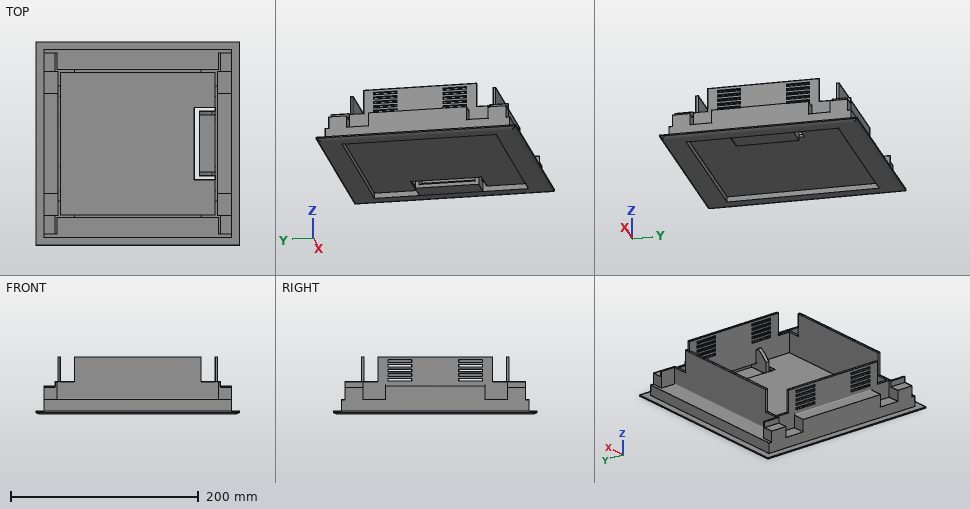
import cadquery as cq
import math

FLANGE = 217.0
FLANGE_THICKNESS = 3.3
EDGE_ROUND_RADIUS = 10.0
EDGE_ROUND_HEIGHT = 2.0
BODY = 200.3
LEDGE_Z = 15.5

WALL_THICKNESS = 2.8
WALL_X = 85.3
WALL_Y = 78.8
ROOM_X = WALL_X - WALL_THICKNESS
ROOM_Y = WALL_Y - WALL_THICKNESS
LOW_WALL_Z = 34.7
TOP_Z = 61.0
CORNER_CUT = 17.5

BLOCK_Z = 30.0
BLOCK_HALF_LENGTH = 53.2
FOOT_FILLET = 1.0

TOWER_Z = 28.2
TOWER_Y_INNER = 76.8
TOWER_Y_OUTER = 96.3
FIN_X_INNER = 86.1
FIN_X_OUTER = 88.0

SLOT_LENGTH = 25.2
SLOT_HEIGHT = 2.4
SLOT_PITCH = 5.0
SLOT_COUNT = 5
SLOT_GROUP_Y = 37.8
LOWEST_SLOT_Z = 36.7

LID_OVERLAP = 7.5
LID_X = ROOM_X + LID_OVERLAP
LID_Y = ROOM_Y + LID_OVERLAP
LID_Z = 9.0
LID_THICKNESS = 3.0
WALL_FOOT_Z = 10.8
NOTCH_X = 60.3
NOTCH_HALF_WIDTH = 38.5

LATCH_X = 65.8
LATCH_HALF_WIDTH = 34.5
LATCH_Z = 4.0
RIB_THICKNESS = 4.1
RIB_NOSE_Z = 17.5
RIB_KNEE = (73.3, 24.7)
RIB_PEAK = (79.5, 28.9)
RIB_SHOULDER = (81.2, 27.5)
RIB_BACK_Z = 25.8


def block(x0, x1, y0, y1, z0, z1):
    """Box between two opposite corners."""
    return cq.Workplane("XY").box(x1 - x0, y1 - y0, z1 - z0, centered=False).translate((x0, y0, z0))


def centred_block(half_x, half_y, z0, z1):
    """Box centred on the Z axis."""
    return block(-half_x, half_x, -half_y, half_y, z0, z1)


def on_both_x_sides(shape):
    return shape.union(shape.mirror("YZ"))


def on_both_y_sides(shape):
    return shape.union(shape.mirror("XZ"))


def flange_bar(plane):
    """Bar with the flange's cross-section, centred along the plane's normal."""
    half = FLANGE / 2
    inset = math.sqrt(EDGE_ROUND_RADIUS**2 - (EDGE_ROUND_RADIUS - EDGE_ROUND_HEIGHT) ** 2)
    return (
        cq.Workplane(plane)
        .moveTo(inset - half, 0)
        .lineTo(half - inset, 0)
        .radiusArc((half, EDGE_ROUND_HEIGHT), -EDGE_ROUND_RADIUS)
        .lineTo(half, FLANGE_THICKNESS)
        .lineTo(-half, FLANGE_THICKNESS)
        .lineTo(-half, EDGE_ROUND_HEIGHT)
        .radiusArc((inset - half, 0), -EDGE_ROUND_RADIUS)
        .close()
        .extrude(half, both=True)
    )


def make_flange():
    """Square plate with a rounded underside rim, mitred at the corners."""
    return flange_bar("XZ").intersect(flange_bar("YZ"))


def make_stepped_body():
    """Low body, the long side blocks and the four corner towers."""
    half = BODY / 2
    body = centred_block(half, half, 0, LEDGE_Z)
    side_block = block(ROOM_X, half, -BLOCK_HALF_LENGTH, BLOCK_HALF_LENGTH, 0, BLOCK_Z)
    tower = block(FIN_X_INNER, half, TOWER_Y_INNER, TOWER_Y_OUTER, 0, TOWER_Z)
    return body.union(on_both_x_sides(side_block)).union(on_both_x_sides(on_both_y_sides(tower)))


def make_fins():
    """Thin upright fins on the towers, each joined to the nearest wall corner."""
    fin = block(FIN_X_INNER, FIN_X_OUTER, TOWER_Y_INNER, TOWER_Y_OUTER, 0, LOW_WALL_Z)
    link = block(ROOM_X, FIN_X_OUTER, TOWER_Y_INNER, WALL_Y, 0, LOW_WALL_Z)
    return on_both_x_sides(on_both_y_sides(fin.union(link)))


def make_walls():
    """Four walls as a solid outline, tall in the middle of each side and low at the corners."""
    walls = centred_block(WALL_X, WALL_Y, 0, LOW_WALL_Z)
    tall_x = centred_block(WALL_X - CORNER_CUT, WALL_Y, 0, TOP_Z)
    tall_y = centred_block(WALL_X, WALL_Y - CORNER_CUT, 0, TOP_Z)
    return walls.union(tall_x).union(tall_y)


def fillet_strip(plane, length):
    """Concave strip along the plane's normal, centred, with its square corner at the origin."""
    return (
        cq.Workplane(plane)
        .lineTo(FOOT_FILLET, 0)
        .radiusArc((0, FOOT_FILLET), FOOT_FILLET)
        .close()
        .extrude(length / 2, both=True)
    )


def make_foot_fillets():
    """Concave rounds at the foot of each wall."""
    side_strip = fillet_strip("XZ", 2 * BLOCK_HALF_LENGTH).translate((WALL_X, 0, BLOCK_Z))
    end_strip = fillet_strip("YZ", 2 * FIN_X_INNER).translate((0, WALL_Y, LEDGE_Z))
    return on_both_x_sides(side_strip).union(on_both_y_sides(end_strip))


def make_louvres():
    """Two groups of slots, long enough to pass through both side walls."""
    lowest_pair = (
        cq.Workplane("XY")
        .pushPoints([(0, -SLOT_GROUP_Y), (0, SLOT_GROUP_Y)])
        .box(FLANGE, SLOT_LENGTH, SLOT_HEIGHT)
    )
    slots = cq.Workplane("XY")
    for row in range(SLOT_COUNT):
        slots = slots.add(lowest_pair.translate((0, 0, LOWEST_SLOT_Z + row * SLOT_PITCH)))
    return slots.combine()


def make_housing():
    housing = make_flange().union(make_stepped_body()).union(make_fins())
    housing = housing.union(make_walls()).union(make_foot_fillets())
    room = centred_block(ROOM_X, ROOM_Y, 0, TOP_Z)
    lid_recess = centred_block(LID_X, LID_Y, 0, WALL_FOOT_Z)
    return housing.cut(room).cut(lid_recess).cut(make_louvres())


def make_lid():
    lid = centred_block(LID_X, LID_Y, LID_Z - LID_THICKNESS, LID_Z)
    notch = block(NOTCH_X, LID_X, -NOTCH_HALF_WIDTH, NOTCH_HALF_WIDTH, LID_Z - LID_THICKNESS, LID_Z)
    return lid.cut(notch)


def make_latch():
    """Plate reaching under the wall, with a sloping rib standing against the wall."""
    plate = block(LATCH_X, LID_X, -LATCH_HALF_WIDTH, LATCH_HALF_WIDTH, 0, LATCH_Z)
    rib_outline = [
        (LATCH_X, 0),
        (LATCH_X, RIB_NOSE_Z),
        RIB_KNEE,
        RIB_PEAK,
        RIB_SHOULDER,
        (ROOM_X, RIB_BACK_Z),
        (ROOM_X, WALL_FOOT_Z),
        (LID_X, WALL_FOOT_Z),
        (LID_X, 0),
    ]
    rib = cq.Workplane("XZ").polyline(rib_outline).close().extrude(RIB_THICKNESS)
    rib = rib.translate((0, LATCH_HALF_WIDTH, 0))
    return plate.union(on_both_y_sides(rib))


housing = make_housing()
lid = make_lid()
latch = make_latch()

result = cq.Compound.makeCompound([housing.solids().val(), lid.solids().val(), latch.solids().val()])